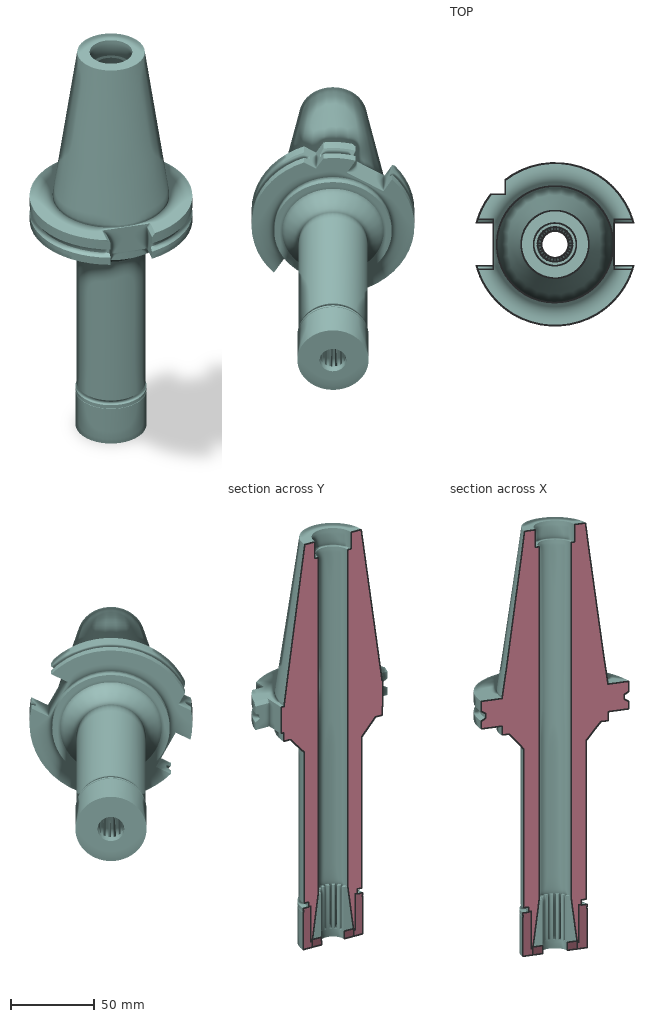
import cadquery as cq
import math

total_height = 266.8
gauge_height = 165.0
flange_top = 163.8
flange_bottom = 146.2
collar_bottom = 140.5
shank_top = 130.0
shank_bottom = 30.5
nut_height = 27.5

taper_small_radius = 20.3
taper_large_radius = 35.0
flange_radius = 48.8
collar_radius = 35.2
cone_radius = 30.5
shank_diameter = 41.3
neck_radius = 17.5

groove_radius = 46.0
groove_top = 157.0
groove_bottom = 151.2
groove_flank = 1.5

keyway_half_width = 12.8
keyway_floor_left = 37.0
keyway_floor_right = 35.5
keyway_chamfer = 2.1
notch_x = 30.0
notch_y = 30.1

mouth_radius = 12.8
mouth_depth = 11.0
bore_radius = 10.5

collet_length = 34.0
collet_hole_radius = 8.0
collet_taper = math.radians(8)
slot_width = 1.5
slot_count = 16
slot_bridge = 5.3

nut_radius = 21.3
nut_groove_radius = 21.0
nut_rim_height = 1.5
nut_groove_width = 1.0
nut_lip = 4.0
nose_radius = 16.0


def collet_radius_at(height):
    """Outer radius of the collet taper at a height."""
    return bore_radius + (collet_length - height) * math.tan(collet_taper)


def revolve_profile(points):
    """Full turn about Z of a closed (radius, height) outline."""
    return cq.Workplane("XZ").polyline(points).close().revolve(360, (0, 0), (0, 1))


def keyway(side, floor):
    """Cutter for one drive keyway, with chamfered upper edges; side is +1 or -1 along X."""
    outer_half_width = keyway_half_width + keyway_chamfer
    outline = [
        (-keyway_half_width, flange_bottom),
        (keyway_half_width, flange_bottom),
        (keyway_half_width, flange_top - keyway_chamfer),
        (outer_half_width, flange_top),
        (-outer_half_width, flange_top),
        (-keyway_half_width, flange_top - keyway_chamfer),
    ]
    floor_plane = cq.Workplane("YZ", origin=(side * floor, 0, 0))
    return floor_plane.polyline(outline).close().extrude(side * flange_radius)


def corner_notch():
    """Cutter for the square notch in the -X +Y quarter of the flange."""
    return (
        cq.Workplane("XY", origin=(-notch_x, notch_y, flange_bottom))
        .rect(-flange_radius, flange_radius, centered=False)
        .extrude(flange_top - flange_bottom)
    )


def make_holder():
    body = revolve_profile([
        (bore_radius, collet_length),
        (collet_radius_at(nut_lip), nut_lip),
        (nose_radius, nut_lip),
        (nose_radius, nut_height),
        (neck_radius, nut_height),
        (neck_radius, shank_bottom),
        (shank_diameter / 2, shank_bottom),
        (shank_diameter / 2, shank_top),
        (cone_radius, collar_bottom),
        (collar_radius, collar_bottom),
        (collar_radius, flange_bottom),
        (flange_radius, flange_bottom),
        (flange_radius, groove_bottom),
        (groove_radius, groove_bottom + groove_flank),
        (groove_radius, groove_top - groove_flank),
        (flange_radius, groove_top),
        (flange_radius, flange_top),
        (taper_large_radius, flange_top),
        (taper_large_radius, gauge_height),
        (taper_small_radius, total_height),
        (mouth_radius, total_height),
        (mouth_radius, total_height - mouth_depth),
        (bore_radius, total_height - mouth_depth),
    ])
    body = body.cut(keyway(-1, keyway_floor_left))
    body = body.cut(keyway(1, keyway_floor_right))
    return body.cut(corner_notch())


def make_nut():
    rim_bottom = nut_height - nut_rim_height
    groove_end = rim_bottom - nut_groove_width
    lip_radius = collet_radius_at(nut_lip)
    return revolve_profile([
        (lip_radius, 0),
        (nut_radius, 0),
        (nut_radius, groove_end),
        (nut_groove_radius, groove_end),
        (nut_groove_radius, rim_bottom),
        (nut_radius, rim_bottom),
        (nut_radius, nut_height),
        (nose_radius, nut_height),
        (nose_radius, nut_lip),
        (lip_radius, nut_lip),
    ])


def make_collet():
    front_radius = collet_radius_at(nut_lip)
    collet = revolve_profile([
        (collet_hole_radius, 0),
        (front_radius, 0),
        (front_radius, nut_lip),
        (bore_radius, collet_length),
        (collet_hole_radius, collet_length),
    ])
    slot = (
        cq.Workplane("XY", origin=(0, 0, slot_bridge))
        .center(collet_radius_at(0) / 2, 0)
        .rect(collet_radius_at(0), slot_width)
        .extrude(collet_length - slot_bridge)
    )
    for index in range(slot_count):
        collet = collet.cut(slot.rotate((0, 0, 0), (0, 0, 1), index * 360 / slot_count))
    return collet


holder = make_holder()
nut = make_nut()
collet = make_collet()

result = cq.Compound.makeCompound([holder.val(), nut.val(), collet.val()])